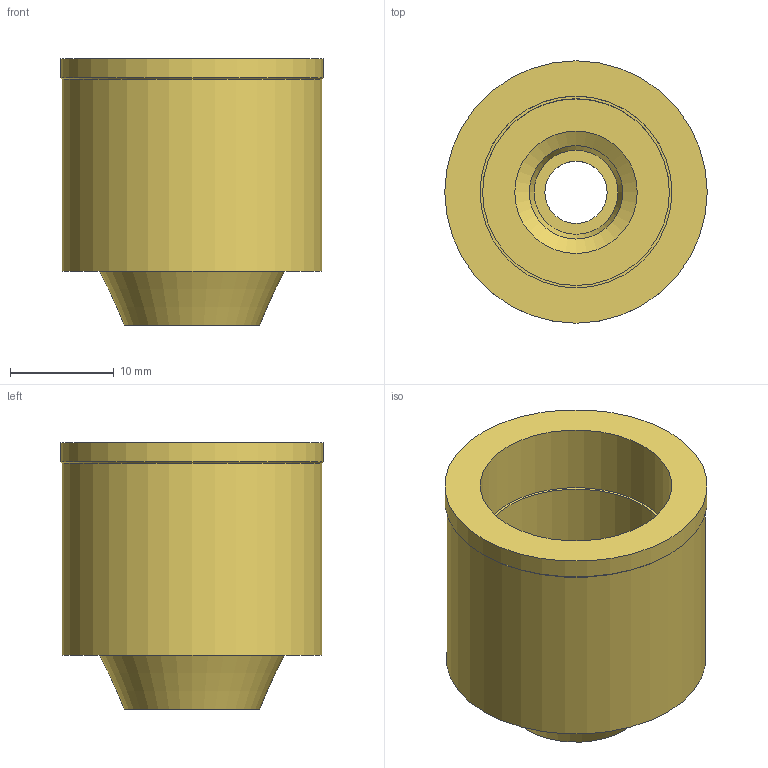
import cadquery as cq
import math

overall_height = 25.7
nose_height = 5.2
flange_height = 2.0
flange_bottom = overall_height - flange_height

flange_radius = 25.3 / 2
body_radius = 25.0 / 2
flange_chamfer = flange_radius - body_radius
nose_top_radius = 8.9
nose_tip_radius = 6.5
nose_sag = 0.08

bore_radius = 18.5 / 2
lower_bore_radius = 18.0 / 2
bore_step_depth = 6.8
floor_thickness = 3.0
bore_step_z = overall_height - bore_step_depth
bore_floor_z = nose_height + floor_thickness

countersink_radius = 11.8 / 2
throat_radius = 9.0 / 2
ledge_radius = 8.1 / 2
hole_radius = 6.0 / 2
countersink_angle = 60.0
throat_angle = 20.0
countersink_depth = (countersink_radius - throat_radius) / math.tan(math.radians(countersink_angle))
throat_depth = (throat_radius - ledge_radius) / math.tan(math.radians(throat_angle))
throat_z = bore_floor_z - countersink_depth
ledge_z = throat_z - throat_depth


def half_section():
    """Radial profile (radius, height) of the whole part."""
    nose_mid = ((nose_top_radius + nose_tip_radius) / 2 - nose_sag, nose_height / 2)
    return (
        cq.Workplane("XZ")
        .moveTo(hole_radius, 0)
        .lineTo(nose_tip_radius, 0)
        .threePointArc(nose_mid, (nose_top_radius, nose_height))
        .lineTo(body_radius, nose_height)
        .lineTo(body_radius, flange_bottom)
        .lineTo(flange_radius, flange_bottom + flange_chamfer)
        .lineTo(flange_radius, overall_height)
        .lineTo(bore_radius, overall_height)
        .lineTo(bore_radius, bore_step_z)
        .lineTo(lower_bore_radius, bore_step_z)
        .lineTo(lower_bore_radius, bore_floor_z)
        .lineTo(countersink_radius, bore_floor_z)
        .lineTo(throat_radius, throat_z)
        .lineTo(ledge_radius, ledge_z)
        .lineTo(hole_radius, ledge_z)
        .close()
    )


full_turn = 360
result = half_section().revolve(full_turn, (0, 0, 0), (0, 1, 0))